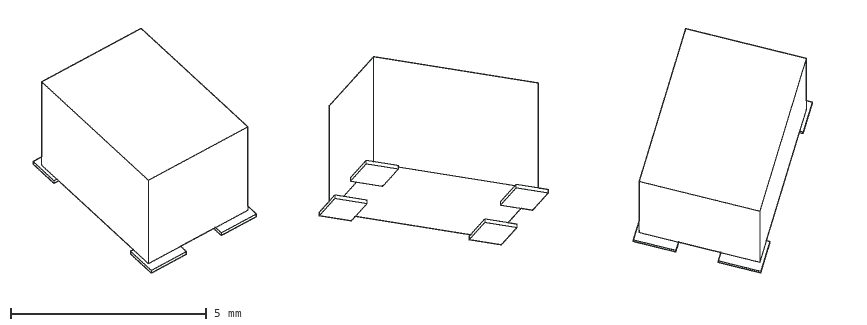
import cadquery as cq

footprint_length = 4.98
footprint_width = 3.38

housing_length = 4.5
housing_width = 3.2
housing_height = 3.0

pad_length = 0.88
pad_width = 1.13
pad_thickness = 0.1

pad_center_x = (footprint_length - pad_length) / 2
pad_center_y = (footprint_width - pad_width) / 2


def make_housing():
    """Plain block standing on the top faces of the pads."""
    block = cq.Workplane("XY").box(
        housing_length, housing_width, housing_height, centered=(True, True, False)
    )
    return block.translate((0, 0, pad_thickness))


def make_pad(side_x, side_y):
    """One pad resting on Z = 0, in the corner given by the signs of X and Y."""
    plate = cq.Workplane("XY").box(
        pad_length, pad_width, pad_thickness, centered=(True, True, False)
    )
    return plate.translate((side_x * pad_center_x, side_y * pad_center_y, 0))


housing = make_housing()
pads = [make_pad(side_x, side_y) for side_x in (-1, 1) for side_y in (-1, 1)]

result = cq.Compound.makeCompound([housing.val(), *[pad.val() for pad in pads]])